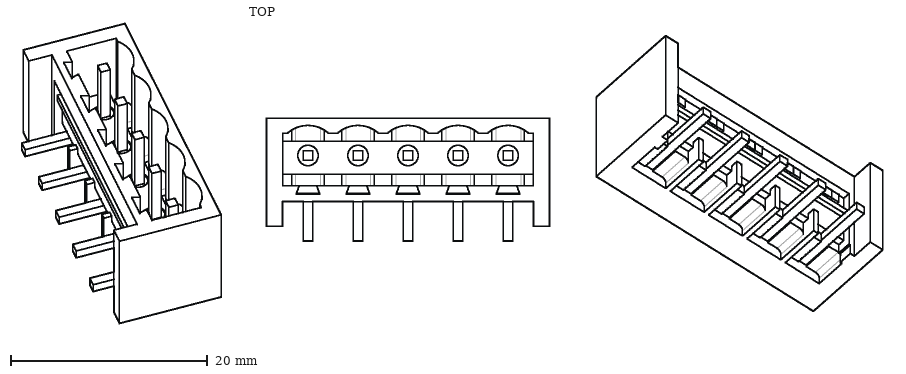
import cadquery as cq
import math


LENGTH = 28.8
HEIGHT = 12.0
CHEEK_DEPTH = 11.0
CHEEK_THICKNESS = 1.67
BODY_DEPTH = 8.5
CAVITY_HALF_LENGTH = LENGTH / 2 - CHEEK_THICKNESS

PIN_COUNT = 5
PIN_ROW_LENGTH = 20.33
PITCH = PIN_ROW_LENGTH / (PIN_COUNT - 1)
PIN_XS = [(i - (PIN_COUNT - 1) / 2) * PITCH for i in range(PIN_COUNT)]

PIN_SIZE = 1.0
PIN_Y = -3.8
PIN_TOP = 11.0
PIN_TAIL_TOP = 2.55
PIN_TAIL_BOTTOM = PIN_TAIL_TOP - PIN_SIZE
TOTAL_DEPTH = 12.5

BACK_WALL = 1.55
FRONT_WALL = 1.6
CAVITY_FRONT = -(BODY_DEPTH - FRONT_WALL)
CAVITY_FLOOR = 3.0
SCALLOP_HALF_WIDTH = 2.1
SCALLOP_DEPTH = 0.8

BANK_BACK = -2.33
BANK_FRONT = -5.73
BANK_TOP = 4.45
PIN_RECESS_DIAMETER = 2.07
PIN_RECESS_DEPTH = 0.2

HUMP_HALF_WIDTH = 1.65
HUMP_ARC_HALF_WIDTH = 1.27
HUMP_FLANK_ANGLE = 57.0

DOVETAIL_FLOOR = 7.85
DOVETAIL_DEPTH = 0.84
DOVETAIL_MOUTH_WIDTH = 1.8
DOVETAIL_BASE_WIDTH = 2.4

WINDOW_HALF_LENGTH = 12.0
WINDOW_TOP = 8.93
WINDOW_DEPTH = 0.84
WINDOW_FACE = -(BODY_DEPTH - WINDOW_DEPTH)
BAR_TOP = 6.75
BAR_HEIGHT = 0.78
BAR_DEPTH = 0.52

RIB_WIDTH = 0.6
RIB_TOP = 3.28
POCKET_TOP = 1.38
POCKET_CORNER_RADIUS = 0.52
END_NOTCH_WIDTH = 0.17
END_NOTCH_TOP = 1.3
POCKET_BACK = PIN_Y + PIN_SIZE / 2
POCKET_HALF_WIDTH = (PITCH - RIB_WIDTH) / 2
RIB_XS = [x + PITCH / 2 for x in PIN_XS[:-1]]


def block(x_range, y_range, z_range):
    """Box between two limits, in rising order, along each axis."""
    lows, highs = zip(x_range, y_range, z_range)
    sizes = [high - low for low, high in zip(lows, highs)]
    return cq.Workplane("XY").box(*sizes, centered=False).translate(lows)


def wide_block(half_length, y_range, z_range):
    """Box centred on X = 0."""
    return block((-half_length, half_length), y_range, z_range)


def envelope():
    """Housing body between two cheeks that stand proud of its front face."""
    body = wide_block(LENGTH / 2, (-CHEEK_DEPTH, 0), (0, HEIGHT))
    return body.cut(wide_block(CAVITY_HALF_LENGTH, (-CHEEK_DEPTH, -BODY_DEPTH), (0, HEIGHT)))


def scallop(x):
    """Shallow arc that widens the cavity into the back wall behind one contact."""
    return (
        cq.Workplane("XY", origin=(x, 0, CAVITY_FLOOR))
        .moveTo(-SCALLOP_HALF_WIDTH, -BACK_WALL)
        .threePointArc((0, -BACK_WALL + SCALLOP_DEPTH), (SCALLOP_HALF_WIDTH, -BACK_WALL))
        .close()
        .extrude(HEIGHT - CAVITY_FLOOR)
    )


def hump(x):
    """Ridge along Y with straight flanks tangent to a rounded top."""
    angle = math.radians(HUMP_FLANK_ANGLE)
    shoulder = (HUMP_HALF_WIDTH - HUMP_ARC_HALF_WIDTH) * math.tan(angle)
    crown = shoulder + HUMP_ARC_HALF_WIDTH * math.tan(angle / 2)
    return (
        cq.Workplane("XZ", origin=(x, 0, CAVITY_FLOOR))
        .moveTo(-HUMP_HALF_WIDTH, 0)
        .lineTo(-HUMP_ARC_HALF_WIDTH, shoulder)
        .threePointArc((0, crown), (HUMP_ARC_HALF_WIDTH, shoulder))
        .lineTo(HUMP_HALF_WIDTH, 0)
        .close()
        .extrude(-CAVITY_FRONT)
    )


def dovetail_slot(x):
    """Slot down the inside of the front wall, wider at its base than at its mouth."""
    mouth = DOVETAIL_MOUTH_WIDTH / 2
    base = DOVETAIL_BASE_WIDTH / 2
    base_y = CAVITY_FRONT - DOVETAIL_DEPTH
    return (
        cq.Workplane("XY", origin=(x, 0, DOVETAIL_FLOOR))
        .polyline([(-mouth, CAVITY_FRONT), (mouth, CAVITY_FRONT), (base, base_y), (-base, base_y)])
        .close()
        .extrude(HEIGHT - DOVETAIL_FLOOR)
    )


def pin_recess(x):
    """Shallow round recess around a pin, in the top of the bank."""
    return (
        cq.Workplane("XY", origin=(x, PIN_Y, BANK_TOP - PIN_RECESS_DEPTH))
        .circle(PIN_RECESS_DIAMETER / 2)
        .extrude(PIN_RECESS_DEPTH)
    )


def pin_passage(x):
    """Square hole for the upright leg of a pin, and the slot below that its tail lies in."""
    half = PIN_SIZE / 2
    sides = (x - half, x + half)
    hole = block(sides, (PIN_Y - half, PIN_Y + half), (PIN_TAIL_BOTTOM, BANK_TOP))
    slot = block(sides, (CAVITY_FRONT, POCKET_BACK), (POCKET_TOP, PIN_TAIL_TOP))
    return hole.union(slot)


def add_cavity(housing):
    """Plug cavity with its scalloped back wall, floor humps, pin bank and coding slots."""
    housing = housing.cut(
        wide_block(CAVITY_HALF_LENGTH, (CAVITY_FRONT, -BACK_WALL), (CAVITY_FLOOR, HEIGHT))
    )
    for x in PIN_XS:
        housing = housing.cut(scallop(x))
    for x in PIN_XS:
        housing = housing.union(hump(x))
    housing = housing.union(
        wide_block(CAVITY_HALF_LENGTH, (BANK_FRONT, BANK_BACK), (CAVITY_FLOOR, BANK_TOP))
    )
    for x in PIN_XS:
        housing = housing.cut(pin_recess(x)).cut(dovetail_slot(x))
    return housing


def add_window(housing):
    """Front window, the bar across it, and the clearance under the front wall."""
    housing = housing.cut(
        wide_block(WINDOW_HALF_LENGTH, (-BODY_DEPTH, WINDOW_FACE), (0, WINDOW_TOP))
    )
    housing = housing.cut(
        wide_block(WINDOW_HALF_LENGTH, (-BODY_DEPTH, CAVITY_FRONT), (0, PIN_TAIL_TOP))
    )
    bar_depth_range = (WINDOW_FACE - BAR_DEPTH, WINDOW_FACE)
    bar_height_range = (BAR_TOP - BAR_HEIGHT, BAR_TOP)
    return housing.union(wide_block(WINDOW_HALF_LENGTH, bar_depth_range, bar_height_range))


def rib(x):
    """Upright rib between two pin tails, flush with the front face."""
    return block((x - RIB_WIDTH / 2, x + RIB_WIDTH / 2), (-BODY_DEPTH, CAVITY_FRONT), (0, RIB_TOP))


def add_underside(housing):
    """Pockets between the ribs, with rounded upper corners, and the notch in the +X end."""
    for x in PIN_XS:
        sides = (x - POCKET_HALF_WIDTH, x + POCKET_HALF_WIDTH)
        pocket = block(sides, (CAVITY_FRONT, POCKET_BACK), (0, POCKET_TOP))
        housing = housing.cut(pocket.edges("|Y and >Z").fillet(POCKET_CORNER_RADIUS))
    for x in RIB_XS:
        housing = housing.union(rib(x))
    notch_sides = (WINDOW_HALF_LENGTH, WINDOW_HALF_LENGTH + END_NOTCH_WIDTH)
    return housing.cut(block(notch_sides, (-BODY_DEPTH, CAVITY_FRONT), (0, END_NOTCH_TOP)))


def make_housing():
    housing = add_underside(add_window(add_cavity(envelope())))
    for x in PIN_XS:
        housing = housing.cut(pin_passage(x))
    return housing


def make_pin(x):
    """Right-angled square pin: an upright leg and a tail that leaves towards -Y."""
    half = PIN_SIZE / 2
    sides = (x - half, x + half)
    leg = block(sides, (PIN_Y - half, PIN_Y + half), (PIN_TAIL_BOTTOM, PIN_TOP))
    tail = block(sides, (-TOTAL_DEPTH, PIN_Y + half), (PIN_TAIL_BOTTOM, PIN_TAIL_TOP))
    return leg.union(tail)


housing = make_housing()
pins = [make_pin(x) for x in PIN_XS]

result = cq.Compound.makeCompound([housing.val(), *[pin.val() for pin in pins]])